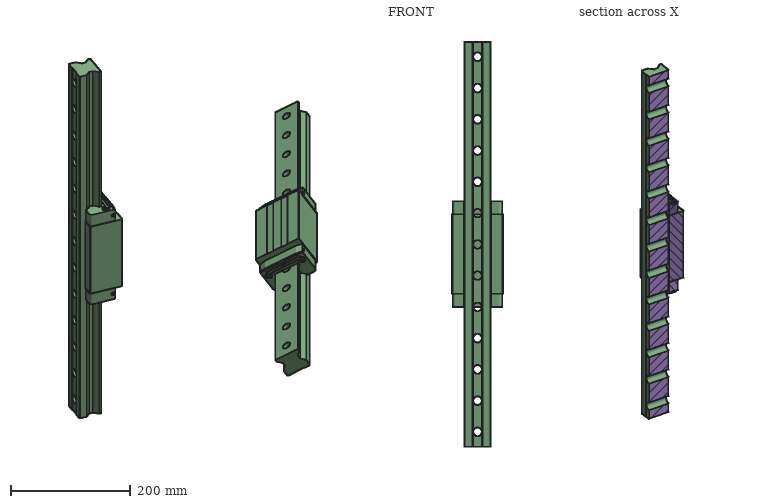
import cadquery as cq


rail_length = 680.0
rail_width = 45.0
rail_height = 40.0
waist_width = 30.0
head_flank_y = 36.0
waist_top_y = 28.0
waist_bottom_y = 21.0
base_flank_y = 13.0
rail_chamfer = 1.5
relief_width = 18.0
relief_floor_width = 15.0
relief_depth = 1.0
hole_diameter = 14.0
hole_count = 13
hole_pitch = 52.5

running_clearance = 1.0
carriage_z = -16.0

block_width = 86.0
block_length = 133.0
block_bottom_y = 10.0
block_top_y = 70.0
block_chamfer = 1.5
pad_groove_x = 14.0
pad_groove_width = 12.0
pad_groove_depth = 1.0

cap_width = 83.5
cap_length = 22.5
cap_bottom_y = 11.0
cap_top_y = 59.0
cap_shoulder_y = 57.0
cap_top_flat = 61.0
cap_bottom_fillet = 5.5
plate_thickness = 1.5
plate_top_y = 56.5
plate_notch_width = 12.0
plate_notch_y = 54.5
channel_bottom_y = 46.0
channel_top_y = 52.0
detail_depth = 1.0
screw_x = 32.5
screw_y = 43.5
screw_head_diameter = 11.5
screw_socket_diameter = 7.0
screw_socket_depth = 3.0
end_port_y = 50.0
end_port_diameter = 7.0
end_port_bore = 3.55
end_port_depth = 3.0
side_port_y = 53.0
side_port_diameter = 5.2
side_port_depth = 3.5

block_end_offset = block_length / 2
cap_end_offset = block_end_offset + cap_length


def rail_outline():
    """Closed rail cross-section without edge breaks or relief groove."""
    half, waist = rail_width / 2, waist_width / 2
    return (
        cq.Workplane("XY")
        .moveTo(-half, 0)
        .lineTo(half, 0)
        .lineTo(half, base_flank_y)
        .lineTo(waist, waist_bottom_y)
        .lineTo(waist, waist_top_y)
        .lineTo(half, head_flank_y)
        .lineTo(half, rail_height)
        .lineTo(-half, rail_height)
        .lineTo(-half, head_flank_y)
        .lineTo(-waist, waist_top_y)
        .lineTo(-waist, waist_bottom_y)
        .lineTo(-half, base_flank_y)
        .close()
    )


def box_between(x_size, y_low, y_high, z_low, z_high):
    """Box centred on X that spans the given Y and Z ranges."""
    return (
        cq.Workplane("XY", origin=(0, (y_low + y_high) / 2, z_low))
        .rect(x_size, y_high - y_low)
        .extrude(z_high - z_low)
    )


def make_rail():
    rail = rail_outline().extrude(rail_length).translate((0, 0, -rail_length / 2))
    rail = rail.faces("<Y").edges("|Z").chamfer(rail_chamfer)

    relief = (
        cq.Workplane("XY", origin=(0, 0, -rail_length / 2))
        .moveTo(-relief_width / 2, 0)
        .lineTo(-relief_floor_width / 2, relief_depth)
        .lineTo(relief_floor_width / 2, relief_depth)
        .lineTo(relief_width / 2, 0)
        .close()
        .extrude(rail_length)
    )
    holes = (
        cq.Workplane("XZ")
        .rarray(7, hole_pitch, 1, hole_count)
        .circle(hole_diameter / 2)
        .extrude(-rail_height)
    )
    return rail.cut(relief).cut(holes)


def rail_passage():
    """Space that the carriage parts leave free around the rail."""
    return (
        rail_outline()
        .offset2D(running_clearance, "intersection")
        .extrude(rail_length)
        .translate((0, 0, -rail_length / 2))
    )


def make_block():
    block = box_between(block_width, block_bottom_y, block_top_y, -block_end_offset, block_end_offset)
    block = block.edges("|Z").chamfer(block_chamfer)
    for side in (-1, 1):
        groove = box_between(
            pad_groove_width,
            block_top_y - pad_groove_depth,
            block_top_y,
            -block_end_offset,
            block_end_offset,
        )
        block = block.cut(groove.translate((side * pad_groove_x, 0, 0)))
    return block.cut(rail_passage())


def cap_disc(x, y, diameter, depth):
    """Cylinder that reaches from the outer face of the upper cap into it."""
    return (
        cq.Workplane("XY", origin=(x, y, cap_end_offset))
        .circle(diameter / 2)
        .extrude(-depth)
    )


def make_upper_cap():
    half = cap_width / 2
    cap = (
        cq.Workplane("XY", origin=(0, 0, block_end_offset))
        .moveTo(-half, cap_bottom_y)
        .lineTo(half, cap_bottom_y)
        .lineTo(half, cap_shoulder_y)
        .lineTo(cap_top_flat / 2, cap_top_y)
        .lineTo(-cap_top_flat / 2, cap_top_y)
        .lineTo(-half, cap_shoulder_y)
        .close()
        .extrude(cap_length)
    )
    cap = cap.faces("<Y").edges("|Z").fillet(cap_bottom_fillet)

    plate_back = cap_end_offset - plate_thickness
    step = box_between(cap_width, plate_top_y, cap_top_y, plate_back, cap_end_offset)
    notch = box_between(plate_notch_width, plate_notch_y, plate_top_y, plate_back, cap_end_offset)

    channel = box_between(
        2 * screw_x, channel_bottom_y, channel_top_y, cap_end_offset - detail_depth, cap_end_offset
    )
    cap = cap.cut(step).cut(notch).cut(channel)

    for side in (-1, 1):
        x = side * screw_x
        cap = cap.cut(cap_disc(x, screw_y, screw_head_diameter, detail_depth))
        cap = cap.cut(cap_disc(x, screw_y, screw_socket_diameter, screw_socket_depth))

        side_port = (
            cq.Workplane("YZ", origin=(side * half, side_port_y, block_end_offset + cap_length / 2))
            .circle(side_port_diameter / 2)
            .extrude(-side * side_port_depth)
        )
        cap = cap.cut(side_port)

    end_port = cap_disc(0, end_port_y, end_port_diameter, detail_depth)
    end_port_hole = cap_disc(0, end_port_y, end_port_bore, end_port_depth)
    return cap.union(end_port).cut(end_port_hole).cut(rail_passage())


rail = make_rail()
block = make_block().translate((0, 0, carriage_z))

upper_cap = make_upper_cap()
end_caps = [cap.translate((0, 0, carriage_z)) for cap in (upper_cap, upper_cap.mirror("XY"))]

result = cq.Compound.makeCompound([rail.val(), block.val(), *[cap.val() for cap in end_caps]])